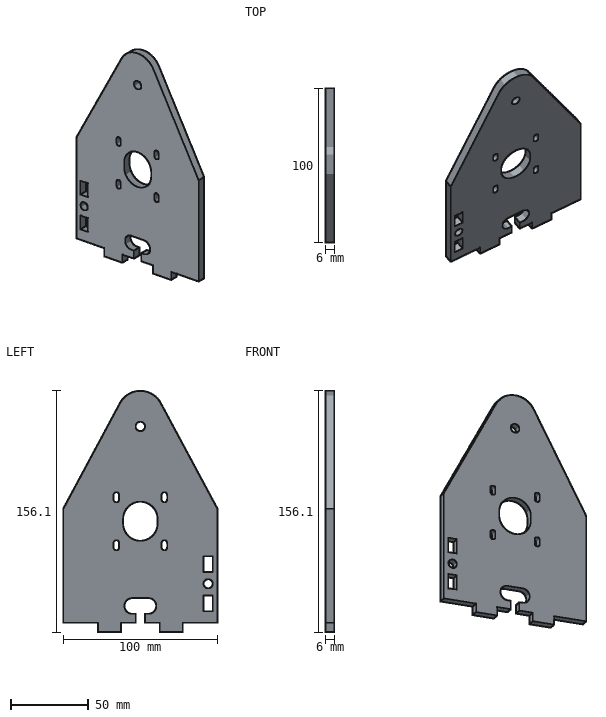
import cadquery as cq
import math

thickness = 6.0
width = 100.0
height = 156.1
shoulder_z = 79.6
nose_radius = 15.0

tab_height = thickness
tab_width = 15.0
tab_offset = 20.0

neck_width = 6.0
neck_height = 6.0
notch_length = 20.5
notch_height = 10.0

pivot_diameter = 6.0
pivot_z = 133.0

motor_z = 71.7
motor_travel = 3.0
motor_bore = 22.2
screw_spacing = 31.0
screw_diameter = 3.5

joint_y = -43.9
joint_z = 31.2
joint_hole_diameter = 5.8
window_width = 6.0
window_height = 10.0
window_offset = 12.6


def section():
    """Sketch plane with local x along +Y and local y along +Z."""
    return cq.Workplane("YZ").workplane(offset=-thickness / 2)


def block(y, z_bottom, size_y, size_z):
    center_z = z_bottom + size_z / 2
    return section().center(y, center_z).rect(size_y, size_z).extrude(thickness)


def round_hole(y, z, diameter):
    return section().center(y, z).circle(diameter / 2).extrude(thickness)


def slot(y, z, length, diameter, angle):
    return section().center(y, z).slot2D(length, diameter, angle).extrude(thickness)


def make_plate():
    """Straight lower sides, then sloped sides tangent to the round nose."""
    half_width = width / 2
    nose_z = height - nose_radius
    drop = nose_z - shoulder_z
    shoulder_distance = math.hypot(half_width, drop)
    tangent_angle = math.acos(nose_radius / shoulder_distance) - math.atan2(drop, half_width)
    tangent_y = nose_radius * math.cos(tangent_angle)
    tangent_z = nose_z + nose_radius * math.sin(tangent_angle)
    return (
        section()
        .moveTo(-half_width, tab_height)
        .lineTo(half_width, tab_height)
        .lineTo(half_width, shoulder_z)
        .lineTo(tangent_y, tangent_z)
        .threePointArc((0, height), (-tangent_y, tangent_z))
        .lineTo(-half_width, shoulder_z)
        .close()
        .extrude(thickness)
    )


def add_tabs(body):
    for side in (-1, 1):
        body = body.union(block(side * tab_offset, 0, tab_width, tab_height))
    return body


def cut_notch(body):
    notch_z = tab_height + neck_height + notch_height / 2
    body = body.cut(block(0, tab_height, neck_width, notch_z - tab_height))
    return body.cut(slot(0, notch_z, notch_length, notch_height, 0))


def cut_motor_mount(body):
    body = body.cut(slot(0, motor_z, motor_bore + motor_travel, motor_bore, 90))
    for side_y in (-1, 1):
        for side_z in (-1, 1):
            y = side_y * screw_spacing / 2
            z = motor_z + side_z * screw_spacing / 2
            body = body.cut(slot(y, z, screw_diameter + motor_travel, screw_diameter, 90))
    return body


def cut_side_joint(body):
    body = body.cut(round_hole(joint_y, joint_z, joint_hole_diameter))
    for side in (-1, 1):
        window_bottom = joint_z + side * window_offset - window_height / 2
        body = body.cut(block(joint_y, window_bottom, window_width, window_height))
    return body


result = add_tabs(make_plate())
result = cut_notch(result)
result = result.cut(round_hole(0, pivot_z, pivot_diameter))
result = cut_motor_mount(result)
result = cut_side_joint(result)